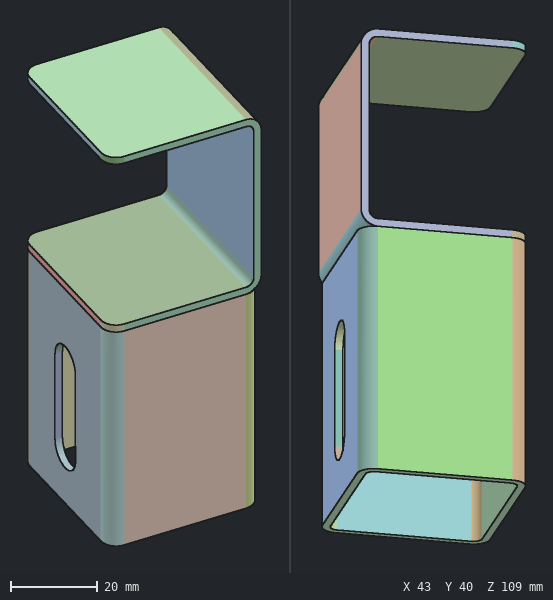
import cadquery as cq

width = 43.0
depth = 40.0
total_height = 109.0
sheet = 2.0
corner_radius = 4.0
inner_radius = corner_radius - sheet

tube_height = 60.1
slot_width = 10.0
slot_length = 34.0
slot_centre_z = 27.0


def make_tube():
    """Rounded rectangular tube, open at both ends, with a slot through its front and back."""
    outer = cq.Workplane("XY").rect(width, depth).extrude(tube_height).edges("|Z").fillet(corner_radius)
    bore = (
        cq.Workplane("XY")
        .rect(width - 2 * sheet, depth - 2 * sheet)
        .extrude(tube_height)
        .edges("|Z")
        .fillet(inner_radius)
    )
    slot = (
        cq.Workplane("XZ")
        .center(0, slot_centre_z)
        .slot2D(slot_length, slot_width, 90)
        .extrude(depth, both=True)
    )
    return outer.cut(bore).cut(slot)


def make_bracket():
    """C-shaped bent sheet standing on the tube, open toward -Y."""
    height = total_height - tube_height
    outer = (
        cq.Workplane("XY", origin=(0, 0, tube_height))
        .box(width, depth, height, centered=(True, True, False))
        .edges("|X and >Y")
        .fillet(corner_radius)
    )
    opening = (
        cq.Workplane("XY", origin=(0, -sheet, tube_height + sheet))
        .box(width, depth, height - 2 * sheet, centered=(True, True, False))
        .edges("|X and >Y")
        .fillet(inner_radius)
    )
    return outer.cut(opening).edges("|Z and <Y").fillet(corner_radius)


tube = make_tube()
bracket = make_bracket()

result = cq.Compound.makeCompound([tube.val(), bracket.val()])